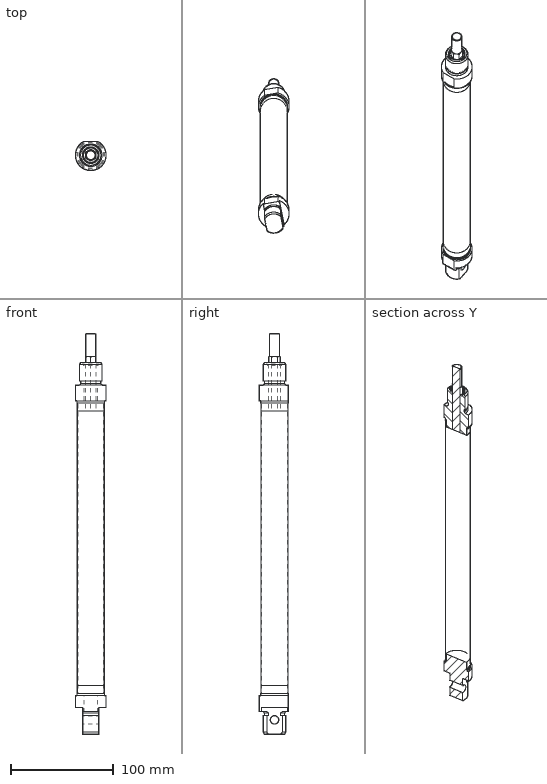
import cadquery as cq
import math

total_length = 390.0

rod_thread_diameter = 10.0
rod_tip_diameter = 8.57
rod_thread_length = 22.0
rod_tip_chamfer_height = 0.41
rod_across_flats = 10.0
hex_chamfer_height = 0.9
hex_exposed_length = 6.0

nose_diameter = 22.0
nose_neck_diameter = 19.7
nose_length = 22.0
nose_chamfer_angle = 30.0
undercut_length = 3.7
undercut_cone_height = 1.5

seal_recess_diameter = 16.1
seal_recess_depth = 1.5
wiper_recess_diameter = 14.0
wiper_recess_depth = 3.0

cap_diameter = 30.0
cap_length = 15.5
cap_flat_offset = 13.5
collar_diameter = 27.0
collar_length = 2.0
plug_length = 8.0

tube_diameter = 26.5
tube_bore = 25.0

tongue_thickness = 16.0
tongue_flat_height = 26.0
pin_hole_diameter = 8.0
pin_hole_height = 14.0

rear_cap_face = nose_length
tube_bottom = rear_cap_face + cap_length + collar_length
rod_shoulder = total_length - rod_thread_length
front_nose_top = rod_shoulder - hex_exposed_length
front_cap_face = front_nose_top - nose_length
tube_top = front_cap_face - cap_length - collar_length
rod_bottom = tube_top - plug_length

rod_across_corners = rod_across_flats / math.cos(math.radians(30))


def cylinder(diameter, bottom, top):
    """Upright cylinder on the Z axis between two heights."""
    return cq.Workplane("XY").workplane(offset=bottom).circle(diameter / 2).extrude(top - bottom)


def plain_cap():
    """Cap with its face at Z = 0, its nose pointing up and its plug pointing down."""
    nose_radius = nose_diameter / 2
    neck_radius = nose_neck_diameter / 2
    chamfer_height = (nose_radius - neck_radius) / math.tan(math.radians(nose_chamfer_angle))
    collar_end = -cap_length - collar_length
    plug_end = collar_end - plug_length
    profile = [
        (0, nose_length),
        (neck_radius, nose_length),
        (nose_radius, nose_length - chamfer_height),
        (nose_radius, undercut_length),
        (neck_radius, undercut_length),
        (neck_radius, undercut_cone_height),
        (nose_radius, 0),
        (cap_diameter / 2, 0),
        (cap_diameter / 2, -cap_length),
        (collar_diameter / 2, -cap_length),
        (collar_diameter / 2, collar_end),
        (tube_bore / 2, collar_end),
        (tube_bore / 2, plug_end),
        (0, plug_end),
    ]
    turned = cq.Workplane("XZ").polyline(profile).close().revolve(360, (0, 0, 0), (0, 1, 0))
    beyond_flat = cq.Workplane("XY").box(cap_diameter, cap_diameter, 2 * cap_length)
    return turned.cut(beyond_flat.translate((0, cap_flat_offset + cap_diameter / 2, 0)))


def hexagonal_bar():
    """Hexagonal length of the rod, two corners pointing along Y."""
    hexagon = cq.Workplane("XY").workplane(offset=rod_bottom).polygon(6, rod_across_corners)
    bar = hexagon.extrude(rod_shoulder - rod_bottom)
    return bar.rotate((0, 0, 0), (0, 0, 1), 90)


def make_rod():
    """Hexagonal rod with bevelled corners and a round threaded end."""
    corner_chamfer = (rod_across_corners - rod_thread_diameter) / 2
    bevel = cylinder(rod_across_corners, rod_bottom, rod_shoulder)
    bevel = bevel.faces(">Z").chamfer(hex_chamfer_height, corner_chamfer)
    threaded_end = cylinder(rod_thread_diameter, rod_shoulder, total_length)
    tip_chamfer = (rod_thread_diameter - rod_tip_diameter) / 2
    threaded_end = threaded_end.faces(">Z").chamfer(rod_tip_chamfer_height, tip_chamfer)
    return hexagonal_bar().intersect(bevel).union(threaded_end)


def make_front_cap():
    """Cap with a hexagonal rod guide and a stepped recess in the nose."""
    cap = plain_cap().translate((0, 0, front_cap_face))
    seal_recess = cylinder(seal_recess_diameter, front_nose_top - seal_recess_depth, front_nose_top)
    wiper_recess = cylinder(wiper_recess_diameter, front_nose_top - wiper_recess_depth, front_nose_top)
    return cap.cut(seal_recess).cut(wiper_recess).cut(hexagonal_bar())


def make_rear_cap():
    """Cap whose nose is flattened on both X sides into a tongue with a pin hole."""
    cap = plain_cap().mirror("XY").translate((0, 0, rear_cap_face))
    side_block = cq.Workplane("XY").box(
        cap_diameter, cap_diameter, tongue_flat_height, centered=(True, True, False)
    )
    for side in (-1, 1):
        cap = cap.cut(side_block.translate((side * (tongue_thickness + cap_diameter) / 2, 0, 0)))
    pin_hole = cq.Workplane("YZ").center(0, pin_hole_height).circle(pin_hole_diameter / 2)
    return cap.cut(pin_hole.extrude(tongue_thickness, both=True))


def make_tube():
    """Tube fitted over both plugs, between the two collars."""
    return cylinder(tube_diameter, tube_bottom, tube_top).cut(cylinder(tube_bore, tube_bottom, tube_top))


rod = make_rod()
front_cap = make_front_cap()
rear_cap = make_rear_cap()
tube = make_tube()

result = cq.Compound.makeCompound([rod.val(), front_cap.val(), rear_cap.val(), tube.val()])